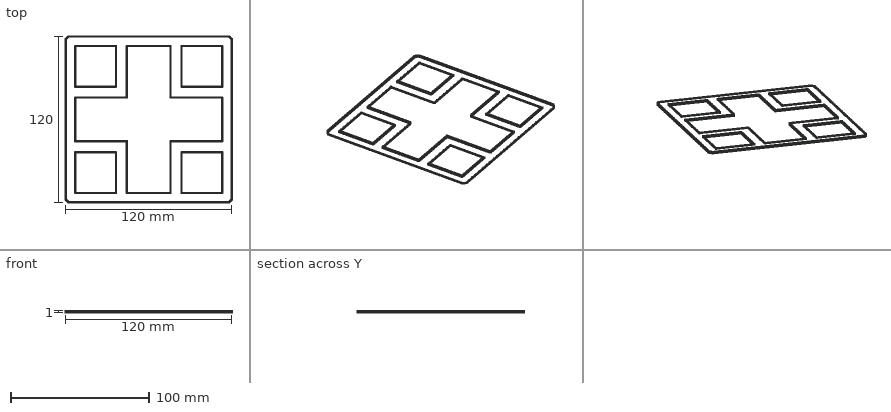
import cadquery as cq

side = 120.0
thickness = 1.0
corner_chamfer = 2.0
border = 7.0
cross_width = 31.5
strip = 8.0

opening_span = side - 2 * border
window_side = (opening_span - cross_width) / 2 - strip
window_spacing = opening_span - window_side


def square_plate():
    """Flat square plate with chamfered corners, resting on Z = 0."""
    plate = cq.Workplane("XY").rect(side, side).extrude(thickness)
    return plate.edges("|Z").chamfer(corner_chamfer)


def cross_opening():
    """Cutter for the central cross, reaching the border on all four sides."""
    along_x = cq.Workplane("XY").rect(opening_span, cross_width).extrude(thickness)
    along_y = cq.Workplane("XY").rect(cross_width, opening_span).extrude(thickness)
    return along_x.union(along_y)


def corner_windows():
    """Cutters for the four square windows, one in each corner."""
    return (
        cq.Workplane("XY")
        .rarray(window_spacing, window_spacing, 2, 2)
        .rect(window_side, window_side)
        .extrude(thickness)
    )


result = square_plate().cut(cross_opening()).cut(corner_windows())